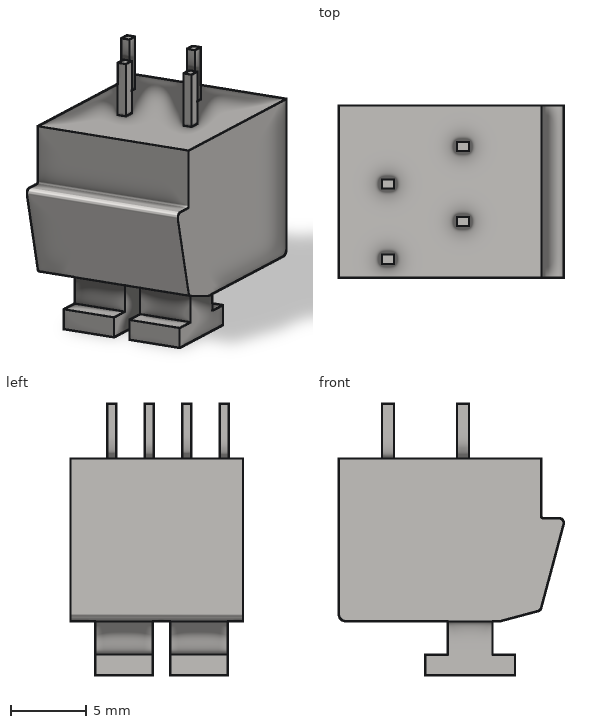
import cadquery as cq
import math

total_length = 15.0
total_height = 18.1
width = 11.5

housing_length = 13.5
housing_bottom = 3.6
housing_top = 14.46
bottom_edge_radius = 0.49

nose_top = 10.48
nose_angle = math.radians(15)
slope_start_x = 10.75
nose_radius = 0.33
nose_root_radius = 0.13

pitch = 2.5
pin_length = 0.81
pin_width = 0.62
first_row_x = 3.3
pin_row_x = (first_row_x, first_row_x + 2 * pitch)
first_pin_y = 1.25
pin_count = 4

button_x = 8.76
button_width = 3.84
button_pitch = 2 * pitch
first_button_y = 2.93
stem_length = 3.0
foot_length = 6.0
foot_height = 1.4
button_count = 2


def round_edge(body, x, z, radius):
    """Fillet the edge parallel to Y that passes through (x, z)."""
    edge = cq.selectors.NearestToPointSelector((x, width / 2, z))
    return body.edges("|Y").edges(edge).fillet(radius)


def make_housing():
    tip_overshoot = nose_radius * (1 / math.cos(nose_angle) + math.tan(nose_angle) - 1)
    tip_x = total_length + tip_overshoot
    slope = math.tan(nose_angle)
    tip_rise = nose_top - housing_bottom
    lower_x = (tip_x - slope * tip_rise - slope**2 * slope_start_x) / (1 - slope**2)
    lower_z = housing_bottom + slope * (lower_x - slope_start_x)

    outline = [
        (0, housing_bottom),
        (slope_start_x, housing_bottom),
        (lower_x, lower_z),
        (tip_x, nose_top),
        (housing_length, nose_top),
        (housing_length, housing_top),
        (0, housing_top),
    ]
    body = cq.Workplane("XZ").polyline(outline).close().extrude(-width)
    body = round_edge(body, 0, housing_bottom, bottom_edge_radius)
    body = round_edge(body, lower_x, lower_z, nose_radius)
    body = round_edge(body, tip_x, nose_top, nose_radius)
    return round_edge(body, housing_length, nose_top, nose_root_radius)


def upright_block(x, y, length, depth, bottom, top):
    """Box centred on (x, y) that spans bottom to top in Z."""
    block = cq.Workplane("XY").box(length, depth, top - bottom, centered=(True, True, False))
    return block.translate((x, y, bottom))


def make_button(y):
    foot = upright_block(button_x, y, foot_length, button_width, 0, foot_height)
    stem = upright_block(button_x, y, stem_length, button_width, foot_height, housing_bottom)
    return foot.union(stem)


result = make_housing()

for index in range(pin_count):
    pin_x = pin_row_x[index % len(pin_row_x)]
    pin_y = first_pin_y + index * pitch
    result = result.union(upright_block(pin_x, pin_y, pin_length, pin_width, housing_top, total_height))

for index in range(button_count):
    result = result.union(make_button(first_button_y + index * button_pitch))